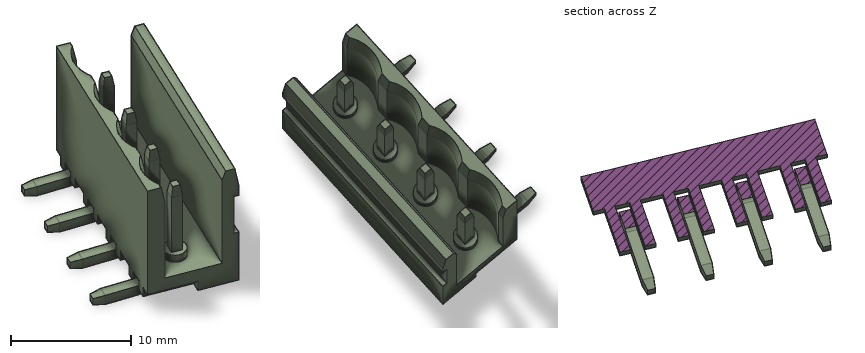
import cadquery as cq
import math

poles = 4
length = 20.32
pitch = length / poles
depth = 8.2
height = 12.2
overall_height = 12.96
floor_top = 2.28

back_wall = 1.5
back_outer_setback = 0.35
back_outer_bevel_height = 1.9
back_inner_setback = 0.33
back_inner_bevel_height = 0.9
groove_depth = 0.43
groove_bottom = 5.2
groove_top = 9.18

front_wall = 1.58
front_bevel_setback = 0.35
front_bevel_height = 1.75
scallop_radius = 3.21
scallop_wall = 0.91

recess_height = 0.98
recess_depth = 4.53
pitch_recess_width = 1.93
pin_recess_width = 1.24

pin_width = 1.0
pin_y = 3.5
pin_top = 10.0
tail_reach = 4.0
tail_end_z = height - overall_height + pin_width / 2
tail_droop = 2.4
inner_bend_radius = 1.22
outer_bend_radius = 1.52
tip_length = 1.04
tip_width = 0.67
collar_radius = 1.02
collar_height = 0.75

pole_positions = [(i - (poles - 1) / 2) * pitch for i in range(poles)]
boundary_positions = [(i - poles / 2) * pitch for i in range(poles + 1)]


def make_housing():
    """U-shaped channel with bevelled rims and a latch groove in its back."""
    outline = [
        (0, 0),
        (depth, 0),
        (depth, groove_bottom),
        (depth - groove_depth, groove_bottom),
        (depth - groove_depth, groove_top),
        (depth, groove_top),
        (depth, height - back_outer_bevel_height),
        (depth - back_outer_setback, height),
        (depth - back_wall + back_inner_setback, height),
        (depth - back_wall, height - back_inner_bevel_height),
        (depth - back_wall, floor_top),
        (front_wall, floor_top),
        (front_wall, height - front_bevel_height),
        (front_wall - front_bevel_setback, height),
        (0, height),
    ]
    return cq.Workplane("YZ").polyline(outline).close().extrude(length / 2, both=True)


def make_scallop(x):
    """Cutter from the floor to the rim that flares outward along the bevel."""
    bevel_bottom = height - front_bevel_height
    rim_radius = scallop_radius + front_bevel_setback
    half_section = [
        (0, floor_top),
        (scallop_radius, floor_top),
        (scallop_radius, bevel_bottom),
        (rim_radius, height),
        (0, height),
    ]
    full_turn = 360
    cutter = cq.Workplane("XZ").polyline(half_section).close().revolve(full_turn, (0, 0), (0, 1))
    front_half = cq.Workplane("XY").box(
        2 * rim_radius, rim_radius, height, centered=(True, False, False)
    ).translate((0, -rim_radius, 0))
    return cutter.intersect(front_half).translate((x, scallop_wall + scallop_radius, 0))


def make_recess(x, width):
    return cq.Workplane("XY").box(
        width, recess_depth, recess_height, centered=(True, False, False)
    ).translate((x, 0, 0))


def make_tip(base_center, direction):
    """Tapered square end of a pin."""
    taper = math.degrees(math.atan((pin_width - tip_width) / 2 / tip_length))
    plane = cq.Plane(origin=base_center, xDir=(1, 0, 0), normal=direction)
    return cq.Workplane(plane).rect(pin_width, pin_width).extrude(tip_length, taper=taper)


def make_pin():
    """Pin at X = 0: an upright contact bent forward into a drooping solder tail."""
    half = pin_width / 2
    shoulder_z = pin_top - tip_length
    tail_end_y = -tail_reach + tip_length
    contact_front = pin_y - half
    contact_back = pin_y + half

    def tail_center_z(y):
        return tail_end_z + (y - tail_end_y) * math.tan(math.radians(tail_droop))

    inner_corner = (contact_front, tail_center_z(contact_front) + half)
    outer_corner = (contact_back, tail_center_z(contact_back) - half)
    outline = [
        (contact_front, shoulder_z),
        inner_corner,
        (tail_end_y, tail_end_z + half),
        (tail_end_y, tail_end_z - half),
        outer_corner,
        (contact_back, shoulder_z),
    ]
    bar = cq.Workplane("YZ").polyline(outline).close().extrude(half, both=True)
    bar = bar.edges(cq.NearestToPointSelector((0, *inner_corner))).fillet(inner_bend_radius)
    bar = bar.edges(cq.NearestToPointSelector((0, *outer_corner))).fillet(outer_bend_radius)
    contact_tip = make_tip((0, pin_y, shoulder_z), (0, 0, 1))
    tail_tip = make_tip((0, tail_end_y, tail_end_z), (0, -1, 0))
    return bar.union(contact_tip).union(tail_tip)


def make_collar(x):
    return cq.Workplane("XY", origin=(x, pin_y, floor_top)).circle(collar_radius).extrude(collar_height)


result = make_housing()
for x in boundary_positions:
    result = result.cut(make_recess(x, pitch_recess_width))
for x in pole_positions:
    result = result.cut(make_scallop(x))
    result = result.cut(make_recess(x, pin_recess_width))

pin = make_pin()
for x in pole_positions:
    result = result.union(make_collar(x))
    result = result.union(pin.translate((x, 0, 0)))